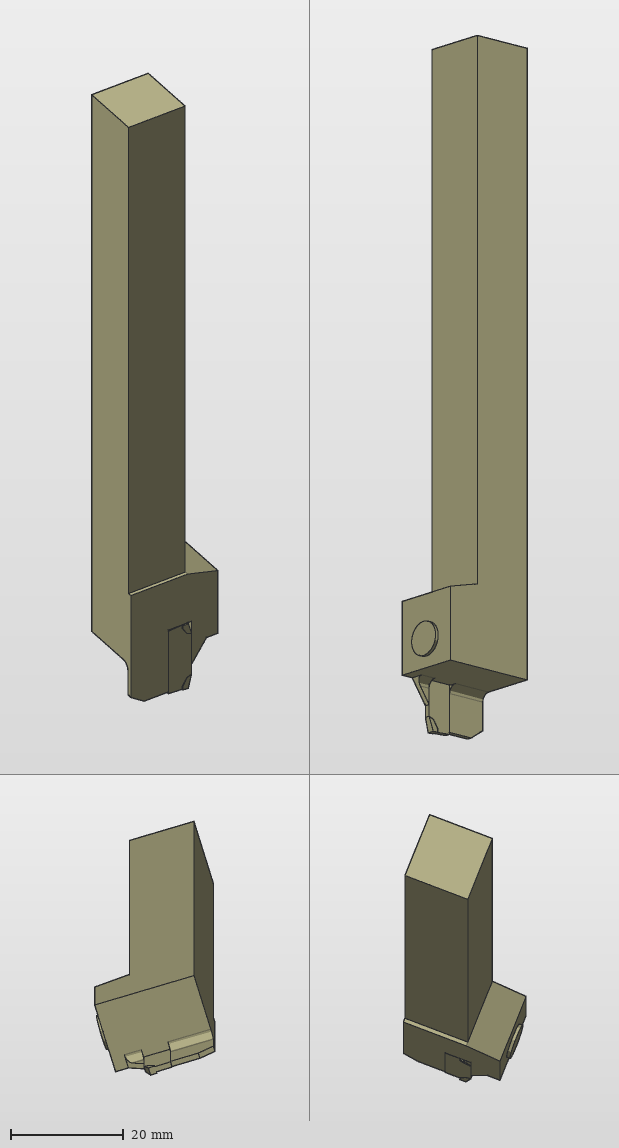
import cadquery as cq
import math


TOTAL_LENGTH = 126.4
SHANK_SIDE_X = 12.0
SHANK_DEPTH = 12.0
HEAD_SIDE_X = 12.8
HEAD_DEPTH = 18.5
HEAD_TOP_Z = 24.8
HEAD_BOTTOM_Z = 9.3
SHOULDER_ANGLE = 15.0

SCREW_DIAMETER = 6.3
SCREW_HEIGHT = 0.6
SCREW_X = HEAD_SIDE_X / 2
SCREW_Z = 14.7

BLADE_THICKNESS = 1.0
BLADE_SIDE_X = HEAD_SIDE_X - BLADE_THICKNESS
BLADE_BOTTOM_Z = 0.6
BLADE_ROOT_RADIUS = 1.5
NOSE_BEVEL_Y = 2.8
NOSE_BEVEL_Z = 1.9
JAW_ROOT_Y = 16.0
JAW_TIP_Z = 4.8

EDGE_Y = SHANK_DEPTH
SEAT_Y = 8.0
INSERT_TOP_Y = 12.9
INSERT_LENGTH = 14.2
HEEL_RISE = 0.3
RAKE_LENGTH = 2.7
TIP_OVERHANG = 0.3
TIP_INSET = 0.1
TIP_SHOULDER_Y = 11.9
TIP_SHOULDER_Z = 2.3
TIP_HEEL_Y = 10.9
TIP_HEEL_Z = 0.8


def extrude_along_x(points, start_x, end_x):
    """Extrude a closed outline of (Y, Z) points between two X positions."""
    outline = cq.Workplane("YZ", origin=(start_x, 0, 0)).polyline(points).close()
    return outline.extrude(end_x - start_x)


def make_shank_and_head():
    shoulder_drop = (HEAD_DEPTH - SHANK_DEPTH) * math.tan(math.radians(SHOULDER_ANGLE))
    shank = extrude_along_x(
        [(0, HEAD_BOTTOM_Z), (SHANK_DEPTH, HEAD_BOTTOM_Z), (SHANK_DEPTH, TOTAL_LENGTH), (0, TOTAL_LENGTH)],
        0, SHANK_SIDE_X)
    head = extrude_along_x(
        [(0, HEAD_BOTTOM_Z), (HEAD_DEPTH, HEAD_BOTTOM_Z), (HEAD_DEPTH, HEAD_TOP_Z - shoulder_drop),
         (SHANK_DEPTH, HEAD_TOP_Z), (0, HEAD_TOP_Z)],
        0, HEAD_SIDE_X)
    return shank.union(head)


def make_screw_head():
    return (
        cq.Workplane("XZ", origin=(SCREW_X, HEAD_DEPTH, SCREW_Z))
        .circle(SCREW_DIAMETER / 2)
        .extrude(-SCREW_HEIGHT)
    )


def make_blade():
    """Blade with a concave fillet where its -X side meets the underside of the head."""
    silhouette = extrude_along_x(
        [(0, HEAD_BOTTOM_Z), (0, BLADE_BOTTOM_Z + NOSE_BEVEL_Z), (NOSE_BEVEL_Y, BLADE_BOTTOM_Z),
         (INSERT_TOP_Y, BLADE_BOTTOM_Z), (INSERT_TOP_Y, JAW_TIP_Z), (JAW_ROOT_Y, HEAD_BOTTOM_Z)],
        0, HEAD_SIDE_X)
    fillet_start_x = BLADE_SIDE_X - BLADE_ROOT_RADIUS
    fillet_end_z = HEAD_BOTTOM_Z - BLADE_ROOT_RADIUS
    arc_reach = BLADE_ROOT_RADIUS * math.sqrt(0.5)
    section = (
        cq.Workplane("XZ")
        .moveTo(fillet_start_x, HEAD_BOTTOM_Z)
        .threePointArc((fillet_start_x + arc_reach, fillet_end_z + arc_reach), (BLADE_SIDE_X, fillet_end_z))
        .lineTo(BLADE_SIDE_X, 0)
        .lineTo(HEAD_SIDE_X, 0)
        .lineTo(HEAD_SIDE_X, HEAD_BOTTOM_Z)
        .close()
        .extrude(-HEAD_DEPTH)
    )
    return silhouette.intersect(section)


def make_insert_slot():
    """Slot through the blade that carries on as a shallow recess in the head's +X face."""
    slot_width = INSERT_TOP_Y - SEAT_Y
    recess_x = BLADE_SIDE_X - TIP_INSET
    recess = cq.Workplane("XY").box(
        HEAD_SIDE_X - recess_x, slot_width, INSERT_LENGTH, centered=False
    ).translate((recess_x, SEAT_Y, 0))
    through = cq.Workplane("XY").box(
        HEAD_SIDE_X, slot_width, HEAD_BOTTOM_Z, centered=False
    ).translate((0, SEAT_Y, 0))
    return recess.union(through)


def make_holder():
    body = make_shank_and_head().union(make_blade())
    return body.cut(make_insert_slot()).union(make_screw_head())


def make_cutting_tip():
    """Lower end of the insert, widest at the cutting edge and narrowing to the body behind it."""
    heel_slope = HEEL_RISE / (EDGE_Y - SEAT_Y)
    edge_start_x = BLADE_SIDE_X - TIP_INSET
    edge_end_x = HEAD_SIDE_X + TIP_OVERHANG
    silhouette = extrude_along_x(
        [(EDGE_Y, 0), (INSERT_TOP_Y, RAKE_LENGTH), (TIP_SHOULDER_Y, TIP_SHOULDER_Z),
         (TIP_HEEL_Y, TIP_HEEL_Z), (TIP_HEEL_Y, heel_slope * (EDGE_Y - TIP_HEEL_Y))],
        edge_start_x, edge_end_x)
    side_relief = (
        cq.Workplane("XZ")
        .polyline([(edge_start_x, 0), (edge_end_x, 0), (HEAD_SIDE_X, RAKE_LENGTH), (BLADE_SIDE_X, RAKE_LENGTH)])
        .close()
        .extrude(-HEAD_DEPTH)
    )
    return silhouette.intersect(side_relief)


def make_insert():
    """Insert that is the same at both ends, mirrored about its mid-length."""
    middle_z = INSERT_LENGTH / 2
    half_body = extrude_along_x(
        [(EDGE_Y, 0), (INSERT_TOP_Y, RAKE_LENGTH), (INSERT_TOP_Y, middle_z), (SEAT_Y, middle_z),
         (SEAT_Y, HEEL_RISE)],
        BLADE_SIDE_X, HEAD_SIDE_X)
    half = half_body.union(make_cutting_tip())
    return half.union(half.mirror("XY", (0, 0, middle_z)))


holder = make_holder()
insert = make_insert()
result = cq.Compound.makeCompound([holder.val(), insert.val()])